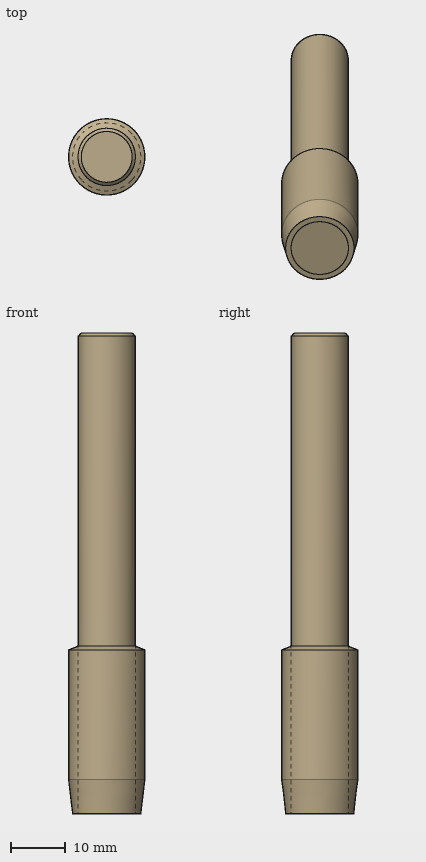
import cadquery as cq

shaft_length = 88.0
shaft_diameter = 10.5
shaft_chamfer = 0.6

sleeve_length = 30.7
sleeve_diameter = 14.0
shoulder_height = 0.7
taper_length = 6.3
taper_end_diameter = 12.5

shaft_radius = shaft_diameter / 2
sleeve_radius = sleeve_diameter / 2
taper_end_radius = taper_end_diameter / 2
shoulder_base = sleeve_length - shoulder_height


def make_shaft():
    """Round shaft running the full length, chamfered at its top end."""
    rod = cq.Workplane("XY").circle(shaft_radius).extrude(shaft_length)
    return rod.faces(">Z").chamfer(shaft_chamfer)


def make_sleeve():
    """Sleeve with a tapered bottom end and a shallow conical shoulder rising to the shaft."""
    return (
        cq.Workplane("XZ")
        .moveTo(shaft_radius, 0)
        .lineTo(taper_end_radius, 0)
        .lineTo(sleeve_radius, taper_length)
        .lineTo(sleeve_radius, shoulder_base)
        .lineTo(shaft_radius, sleeve_length)
        .close()
        .revolve(360, (0, 0, 0), (0, 1, 0))
    )


shaft = make_shaft()
sleeve = make_sleeve()

result = cq.Compound.makeCompound([shaft.val(), sleeve.val()])